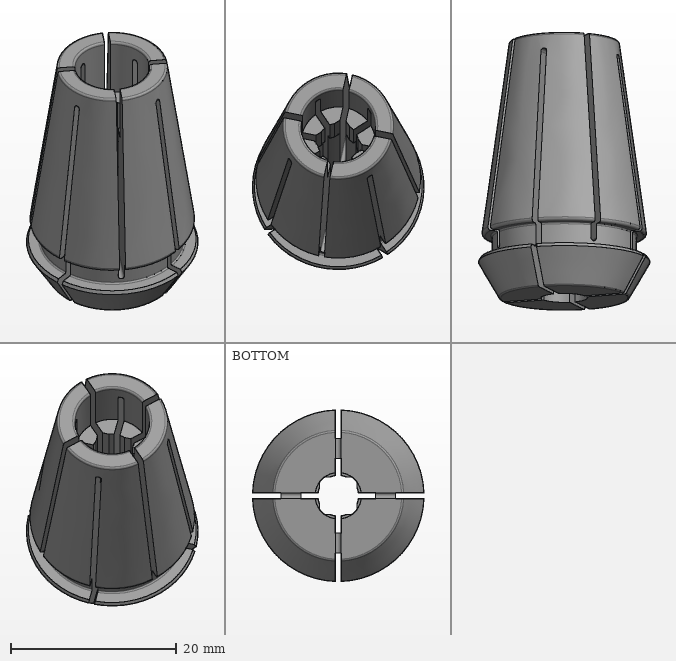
import cadquery as cq
import math

height = 31.5
taper_angle = 8.0

collar_base_radius = 7.85
collar_slope_angle = 30.0
collar_top_z = 4.82
collar_edge_chamfer = 0.47
collar_base_fillet = 0.28

groove_radius = 8.73
groove_top_z = 7.62
groove_fillet = 0.2

taper_base_radius = 10.02
taper_edge_fillet = 0.38
top_edge_fillet = 0.28

shank_radius = 2.8
shank_depth = 18.02
square_side = 4.55
square_relief_radius = 2.45
clearance_radius = 4.5
clearance_floor_z = 23.95
bore_mouth_fillet = 0.28

slot_count_per_end = 4
slot_width = 0.72
bottom_slot_end_z = 29.55
top_slot_end_z = 5.5
top_slot_floor_slope = 5.0
slot_reach = 12.6
top_slot_overrun = 3.15

collar_rim_radius = collar_base_radius + collar_top_z * math.tan(math.radians(collar_slope_angle))
taper_top_radius = taper_base_radius - (height - groove_top_z) * math.tan(math.radians(taper_angle))


def circle_edges(body, radius, z):
    """Select the circular edge of the given radius at height z."""
    tolerance = 0.015
    reach = radius + tolerance
    inner = radius - tolerance
    outer_box = cq.selectors.BoxSelector(
        (-reach, -reach, z - tolerance), (reach, reach, z + tolerance), boundingbox=True
    )
    inner_box = cq.selectors.BoxSelector(
        (-inner, -inner, z - tolerance), (inner, inner, z + tolerance), boundingbox=True
    )
    return body.edges(outer_box - inner_box)


def make_body():
    """Turned outer form with its edge breaks."""
    body = (
        cq.Workplane("XZ")
        .polyline([
            (0, 0),
            (collar_base_radius, 0),
            (collar_rim_radius, collar_top_z),
            (groove_radius, collar_top_z),
            (groove_radius, groove_top_z),
            (taper_base_radius, groove_top_z),
            (taper_top_radius, height),
            (0, height),
        ])
        .close()
        .revolve(360, (0, 0, 0), (0, 1, 0))
    )
    body = circle_edges(body, collar_base_radius, 0).fillet(collar_base_fillet)
    body = circle_edges(body, collar_rim_radius, collar_top_z).chamfer(collar_edge_chamfer)
    for z in (collar_top_z, groove_top_z):
        body = circle_edges(body, groove_radius, z).fillet(groove_fillet)
    body = circle_edges(body, taper_base_radius, groove_top_z).fillet(taper_edge_fillet)
    return circle_edges(body, taper_top_radius, height).fillet(top_edge_fillet)


def make_bore():
    """Stepped bore as a solid to be removed."""
    shank = cq.Workplane("XY").circle(shank_radius).extrude(shank_depth)
    square = cq.Workplane("XY").workplane(offset=shank_depth)
    square = square.rect(square_side, square_side).extrude(clearance_floor_z - shank_depth)
    relief = cq.Workplane("XY").circle(square_relief_radius).extrude(clearance_floor_z)
    clearance = (
        cq.Workplane("XY")
        .workplane(offset=clearance_floor_z)
        .circle(clearance_radius)
        .extrude(height - clearance_floor_z)
    )
    return shank.union(square).union(relief).union(clearance)


def make_slot(round_end_z, open_end_z, angle, floor_slope=0):
    """Radial slot at an angle about Z, with a full-round end that may dip toward the axis."""
    slot_radius = slot_width / 2
    direction = math.copysign(1, open_end_z - round_end_z)
    arc_z = round_end_z + direction * slot_radius
    profile = (
        cq.Workplane("YZ")
        .moveTo(-slot_radius, open_end_z)
        .lineTo(-slot_radius, arc_z)
        .threePointArc((0, round_end_z), (slot_radius, arc_z))
        .lineTo(slot_radius, open_end_z)
        .close()
    )
    slot = profile.extrude(slot_reach)
    slot = slot.rotate((groove_radius, 0, round_end_z), (groove_radius, 1, round_end_z), -floor_slope)
    return slot.rotate((0, 0, 0), (0, 0, 1), angle)


result = make_body().cut(make_bore())
result = circle_edges(result, clearance_radius, height).fillet(bore_mouth_fillet)

slot_pitch = 360 / slot_count_per_end
for index in range(slot_count_per_end):
    bottom_slot_angle = index * slot_pitch
    top_slot_angle = bottom_slot_angle + slot_pitch / 2
    result = result.cut(make_slot(bottom_slot_end_z, 0, bottom_slot_angle))
    result = result.cut(
        make_slot(top_slot_end_z, height + top_slot_overrun, top_slot_angle, top_slot_floor_slope)
    )